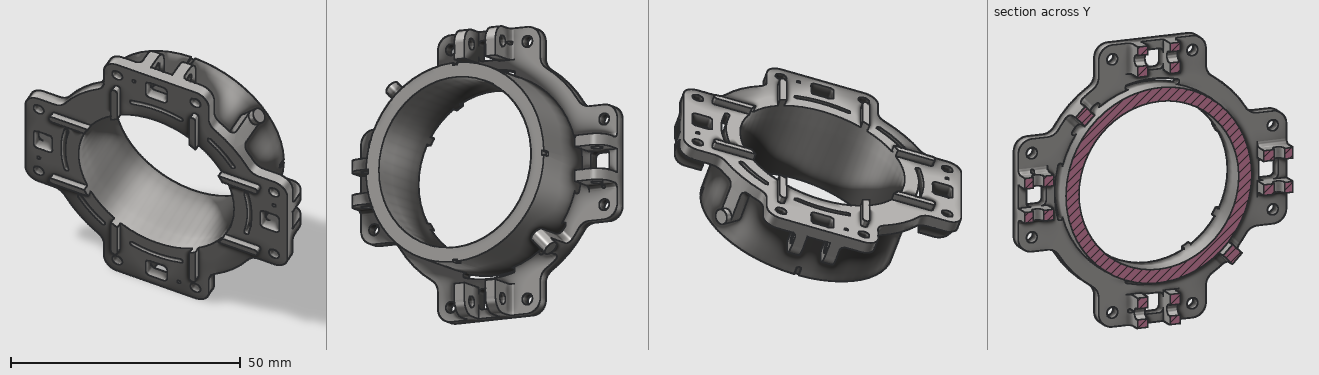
import cadquery as cq
import math


OVERALL = 63.71
TOTAL_DEPTH = 19.55
PLATE_THICKNESS = 2.6
PLATE_RADIUS = 26.4
BORE_RADIUS = 18.9
TUBE_RADIUS = 22.1
RIB_HEIGHT = 1.55
TUBE_END = TOTAL_DEPTH - RIB_HEIGHT
TAB_REACH = OVERALL / 2
TAB_WIDTH = 25.5
TAB_CORNER_RADIUS = 3.25
TAB_ROOT_RADIUS = 3.15

SCREW_DIAMETER = 2.5
SCREW_OFFSET = TAB_WIDTH / 2 - TAB_CORNER_RADIUS
SCREW_REACH = TAB_REACH - TAB_CORNER_RADIUS
WINDOW_WIDTH = 5.2
WINDOW_HEIGHT = 4.6
WINDOW_REACH = 27.55
WINDOW_CORNER_RADIUS = 1.0
PEG_HOLE_DIAMETER = 0.8
PEG_HOLE_OFFSET = -5.47
RIB_WIDTH = 1.55
RIB_END = 25.35

SLOT_RADIUS = 22.65
SLOT_WIDTH = 1.1
TAB_SLOT_HALF_ANGLE = 15
POST_SLOT_HALF_ANGLE = 10

LUG_INNER_FACE = WINDOW_WIDTH / 2
LUG_THICKNESS = 2.5
LUG_START = 24.9
LUG_HEIGHT = 9.0
LUG_CORNER_RADIUS = 3.25
LUG_HOLE_DIAMETER = 2.5
LUG_FOOT_RADIUS = 1.15

POST_ANGLES = (45, 225)
PIN_RADIUS = 1.65
PIN_HEIGHT = 10.55
PIN_REACH = 27.9
POST_FOOT_RADIUS = 1.5

NOTCH_WIDTH = 1.0
NOTCH_LENGTH = 2.1
NOTCH_DEPTH = 0.5

QUARTER_TURNS = (0, 90, 180, 270)


def turned(shape, angle):
    """Turn a shape about the ring axis, from +Z toward +X."""
    return shape.rotate((0, 0, 0), (0, 1, 0), angle)


def cylinder(radius, start, end):
    """Cylinder on the ring axis between two Y positions."""
    return cq.Workplane("XZ", origin=(0, start, 0)).circle(radius).extrude(start - end)


def plate():
    """Disc with four rounded tabs, blended where disc and tabs meet."""
    body = cylinder(PLATE_RADIUS, 0, PLATE_THICKNESS)
    for size in ((TAB_WIDTH, OVERALL), (OVERALL, TAB_WIDTH)):
        bar = cq.Workplane("XZ").rect(*size).extrude(-PLATE_THICKNESS)
        body = body.union(bar.edges("|Y").fillet(TAB_CORNER_RADIUS))
    root_offset = TAB_WIDTH / 2
    root_reach = math.sqrt(PLATE_RADIUS**2 - root_offset**2)
    for sign_x in (-1, 1):
        for sign_z in (-1, 1):
            for x, z in ((root_offset, root_reach), (root_reach, root_offset)):
                corner = cq.Vector(sign_x * x, PLATE_THICKNESS / 2, sign_z * z)
                root_edge = cq.selectors.NearestToPointSelector(corner.toTuple())
                body = body.edges("|Y").edges(root_edge).fillet(TAB_ROOT_RADIUS)
    return body


def curved_slot(half_angle, depth):
    """Round-ended arc slot centred on +Z, cut from the plate front to the given depth."""
    inner = SLOT_RADIUS - SLOT_WIDTH / 2
    outer = SLOT_RADIUS + SLOT_WIDTH / 2
    sine = math.sin(math.radians(half_angle))
    cosine = math.cos(math.radians(half_angle))
    tip_x = SLOT_RADIUS * sine + SLOT_WIDTH / 2 * cosine
    tip_z = SLOT_RADIUS * cosine - SLOT_WIDTH / 2 * sine
    return (
        cq.Workplane("XZ")
        .moveTo(-outer * sine, outer * cosine)
        .threePointArc((0, outer), (outer * sine, outer * cosine))
        .threePointArc((tip_x, tip_z), (inner * sine, inner * cosine))
        .threePointArc((0, inner), (-inner * sine, inner * cosine))
        .threePointArc((-tip_x, tip_z), (-outer * sine, outer * cosine))
        .close()
        .extrude(-depth)
    )


def tab_openings():
    """Screw holes, peg hole, window and curved slot of the +Z tab."""
    screws = (
        cq.Workplane("XZ")
        .pushPoints([(-SCREW_OFFSET, SCREW_REACH), (SCREW_OFFSET, SCREW_REACH)])
        .circle(SCREW_DIAMETER / 2)
        .extrude(-PLATE_THICKNESS)
    )
    peg_hole = (
        cq.Workplane("XZ")
        .center(PEG_HOLE_OFFSET, SCREW_REACH)
        .circle(PEG_HOLE_DIAMETER / 2)
        .extrude(-PLATE_THICKNESS - LUG_FOOT_RADIUS)
    )
    window = (
        cq.Workplane("XZ")
        .center(0, WINDOW_REACH)
        .rect(WINDOW_WIDTH, WINDOW_HEIGHT)
        .extrude(-PLATE_THICKNESS)
        .edges("|Y")
        .fillet(WINDOW_CORNER_RADIUS)
    )
    slot = curved_slot(TAB_SLOT_HALF_ANGLE, PLATE_THICKNESS)
    return screws.union(peg_hole).union(window).union(slot)


def tab_ribs():
    """Two radial ribs in front of the +Z tab; the bore trims their inner ends."""
    rib_start = BORE_RADIUS / 2
    straight_end = RIB_END - RIB_WIDTH / 2
    ribs = cq.Workplane("XZ")
    for side in (-1, 1):
        rib = (
            cq.Workplane("XZ")
            .moveTo(side * SCREW_OFFSET - RIB_WIDTH / 2, rib_start)
            .lineTo(side * SCREW_OFFSET - RIB_WIDTH / 2, straight_end)
            .threePointArc(
                (side * SCREW_OFFSET, RIB_END),
                (side * SCREW_OFFSET + RIB_WIDTH / 2, straight_end),
            )
            .lineTo(side * SCREW_OFFSET + RIB_WIDTH / 2, rib_start)
            .close()
            .extrude(RIB_HEIGHT)
        )
        ribs = ribs.add(rib)
    return ribs.combine()


def hinge_lug():
    """Lug on the +X side of the +Z tab, with a cross hole and a filleted outer foot."""
    outer_face = LUG_INNER_FACE + LUG_THICKNESS
    hole_height = LUG_HEIGHT - LUG_CORNER_RADIUS
    lug = (
        cq.Workplane("YZ", origin=(LUG_INNER_FACE, 0, 0))
        .moveTo(0, LUG_START)
        .lineTo(LUG_HEIGHT, LUG_START)
        .lineTo(LUG_HEIGHT, SCREW_REACH)
        .radiusArc((hole_height, TAB_REACH), -LUG_CORNER_RADIUS)
        .lineTo(0, TAB_REACH)
        .close()
        .extrude(LUG_THICKNESS)
    )
    hole = (
        cq.Workplane("YZ", origin=(LUG_INNER_FACE, 0, 0))
        .center(hole_height, SCREW_REACH)
        .circle(LUG_HOLE_DIAMETER / 2)
        .extrude(LUG_THICKNESS)
    )
    foot = (
        cq.Workplane("XY", origin=(0, 0, LUG_START))
        .moveTo(outer_face, PLATE_THICKNESS)
        .lineTo(outer_face + LUG_FOOT_RADIUS, PLATE_THICKNESS)
        .radiusArc((outer_face, PLATE_THICKNESS + LUG_FOOT_RADIUS), LUG_FOOT_RADIUS)
        .close()
        .extrude(TAB_REACH - LUG_START)
    )
    return lug.cut(hole).union(foot)


def pin_post():
    """Post on +Z, flush with the plate rim, carrying an outward pin along its top."""
    foot_half_width = PIN_RADIUS + POST_FOOT_RADIUS
    foot_top = PLATE_THICKNESS + POST_FOOT_RADIUS
    wall = (
        cq.Workplane("XY", origin=(0, 0, SLOT_RADIUS))
        .moveTo(-foot_half_width, 0)
        .lineTo(-foot_half_width, PLATE_THICKNESS)
        .radiusArc((-PIN_RADIUS, foot_top), -POST_FOOT_RADIUS)
        .lineTo(-PIN_RADIUS, PIN_HEIGHT)
        .lineTo(PIN_RADIUS, PIN_HEIGHT)
        .lineTo(PIN_RADIUS, foot_top)
        .radiusArc((foot_half_width, PLATE_THICKNESS), -POST_FOOT_RADIUS)
        .lineTo(foot_half_width, 0)
        .close()
        .extrude(PIN_REACH - SLOT_RADIUS)
        .intersect(cylinder(PLATE_RADIUS, 0, TUBE_END))
    )
    pin = (
        cq.Workplane("XY", origin=(0, PIN_HEIGHT, SLOT_RADIUS))
        .circle(PIN_RADIUS)
        .extrude(PIN_REACH - SLOT_RADIUS)
    )
    return wall.union(pin)


def tube_notch():
    """Round-bottomed notch in the tube's outer wall on +Z, open at the tube end."""
    round_centre = TUBE_END - NOTCH_LENGTH + NOTCH_WIDTH / 2
    return (
        cq.Workplane("XY", origin=(0, 0, TUBE_RADIUS - NOTCH_DEPTH))
        .moveTo(-NOTCH_WIDTH / 2, TUBE_END)
        .lineTo(-NOTCH_WIDTH / 2, round_centre)
        .threePointArc((0, TUBE_END - NOTCH_LENGTH), (NOTCH_WIDTH / 2, round_centre))
        .lineTo(NOTCH_WIDTH / 2, TUBE_END)
        .close()
        .extrude(2 * NOTCH_DEPTH)
    )


def build():
    lug = hinge_lug()
    body = plate()
    for angle in QUARTER_TURNS:
        body = body.union(turned(tab_ribs(), angle))
        body = body.union(turned(lug, angle))
        body = body.union(turned(lug.mirror("YZ"), angle))
    for angle in POST_ANGLES:
        body = body.union(turned(pin_post(), angle))
        body = body.cut(turned(curved_slot(POST_SLOT_HALF_ANGLE, TUBE_END), angle))
    for angle in QUARTER_TURNS:
        body = body.cut(turned(tab_openings(), angle))
    body = body.union(cylinder(TUBE_RADIUS, PLATE_THICKNESS, TUBE_END))
    for angle in QUARTER_TURNS:
        body = body.cut(turned(tube_notch(), angle))
    return body.cut(cylinder(BORE_RADIUS, -RIB_HEIGHT, TUBE_END))


result = build()